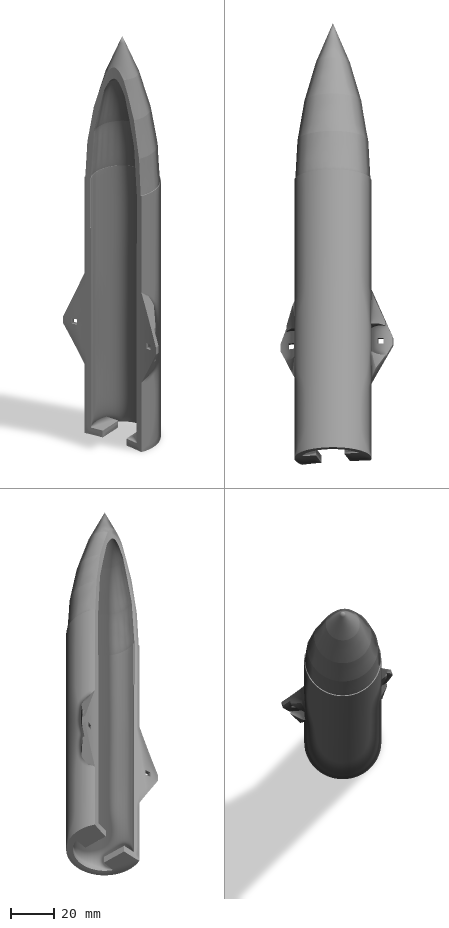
import cadquery as cq
import math

total_height = 209.5
body_radius = 17.8
nose_length = 75.6
nose_radius = 17.4
nose_segments = 4
shoulder_height = total_height - nose_length

bore_radius = 14.7
cavity_nose_radius = 14.9
relief_base_z = 108.0
relief_back_y = -5.9
cavity_nose_length = 72.5
cavity_nose_segments = 3
relief_width = 26.8

tab_thickness = 3.5
tab_gap = 13.5
tab_back_y = 6.0

mount_radius = 85.3
mount_crown_y = -5.9
mount_axis_y = mount_crown_y - mount_radius

ear_half_span = 26.5
ear_thickness = 1.9
ear_center_z = 57.2
ear_tip_half_height = 1.9
ear_root_x = 16.0
ear_top_z = 84.2
ear_bottom_z = 35.6
hole_x = 21.2
hole_size = 2.7

gusset_root_y = -0.5
gusset_reach = 23.3
gusset_depth = 7.0
screw_clearance_radius = 7.3


def mount_cylinder(radius):
    return cq.Workplane("XY").center(0, mount_axis_y).circle(radius).extrude(total_height)


def ogive_radius(base_radius, length, height):
    """Radius at a height on a tangent ogive that starts vertical."""
    arc_radius = (length**2 + base_radius**2) / (2 * base_radius)
    return base_radius - arc_radius + math.sqrt(arc_radius**2 - height**2)


def segmented_ogive(base_radius, length, segments):
    """Ogive on the shoulder, made of conical bands of equal height."""
    heights = [length * i / segments for i in range(segments)]
    rings = [(ogive_radius(base_radius, length, h), shoulder_height + h) for h in heights]
    tip = (0, shoulder_height + length)
    return (
        cq.Workplane("XZ")
        .polyline([(0, shoulder_height)] + rings + [tip])
        .close()
        .revolve(360, (0, 0, 0), (0, 1, 0))
    )


def outer_body():
    barrel = cq.Workplane("XY").circle(body_radius).extrude(shoulder_height)
    return barrel.union(segmented_ogive(nose_radius, nose_length, nose_segments))


def cavity():
    bore = cq.Workplane("XY").circle(bore_radius).extrude(shoulder_height)
    relief_depth = body_radius + relief_back_y
    relief = cq.Workplane("XY").box(
        relief_width, relief_depth, shoulder_height - relief_base_z, centered=(True, False, False)
    ).translate((0, -body_radius, relief_base_z))
    nose_hollow = segmented_ogive(cavity_nose_radius, cavity_nose_length, cavity_nose_segments)
    return bore.union(relief).union(nose_hollow)


def base_tabs():
    """Two flat tabs at the base, one on each side of a central gap."""
    front_half = (
        cq.Workplane("XY")
        .box(2 * body_radius, 2 * body_radius, tab_thickness, centered=(True, True, False))
        .translate((0, tab_back_y - body_radius, 0))
    )
    gap = cq.Workplane("XY").box(tab_gap, 4 * body_radius, 2 * tab_thickness)
    disc = cq.Workplane("XY").circle((body_radius + bore_radius) / 2).extrude(tab_thickness)
    return disc.intersect(front_half).cut(gap)


def ear_prism():
    """Both ears as one outline, extruded along Y through the mounting face."""
    right_edge = [
        (ear_root_x, ear_bottom_z),
        (ear_half_span, ear_center_z - ear_tip_half_height),
        (ear_half_span, ear_center_z + ear_tip_half_height),
        (ear_root_x, ear_top_z),
    ]
    left_edge = [(-x, z) for x, z in reversed(right_edge)]
    return (
        cq.Workplane("XZ").polyline(right_edge + left_edge).close().extrude(body_radius, both=True)
    )


def ears():
    return ear_prism().intersect(mount_cylinder(mount_radius + ear_thickness))


def gussets():
    """Sloped webs between the body wall and the ears, inside the ear outline."""
    right = (
        cq.Workplane("XY")
        .polyline([
            (ear_root_x, gusset_root_y),
            (body_radius, gusset_root_y),
            (gusset_reach, mount_crown_y),
            (gusset_reach, -body_radius),
            (ear_root_x, -body_radius),
        ])
        .close()
        .extrude(total_height)
    )
    middle_z = (ear_top_z + ear_bottom_z) / 2
    half_height = (ear_top_z - ear_bottom_z) / 2
    rounded_ends = (
        cq.Workplane("YZ")
        .center(gusset_root_y - gusset_depth, middle_z)
        .ellipse(gusset_depth, half_height)
        .extrude(ear_half_span, both=True)
    )
    screw_clearance = (
        cq.Workplane("XZ")
        .pushPoints([(-hole_x, ear_center_z), (hole_x, ear_center_z)])
        .circle(screw_clearance_radius)
        .extrude(body_radius, both=True)
    )
    webs = right.union(right.mirror("YZ")).intersect(ear_prism())
    return webs.intersect(rounded_ends).cut(screw_clearance)


def ear_holes():
    return (
        cq.Workplane("XZ")
        .pushPoints([(-hole_x, ear_center_z), (hole_x, ear_center_z)])
        .rect(hole_size, hole_size)
        .extrude(body_radius, both=True)
    )


result = (
    gussets()
    .union(ears())
    .union(outer_body())
    .cut(cavity())
    .union(base_tabs())
    .cut(mount_cylinder(mount_radius))
    .cut(ear_holes())
)